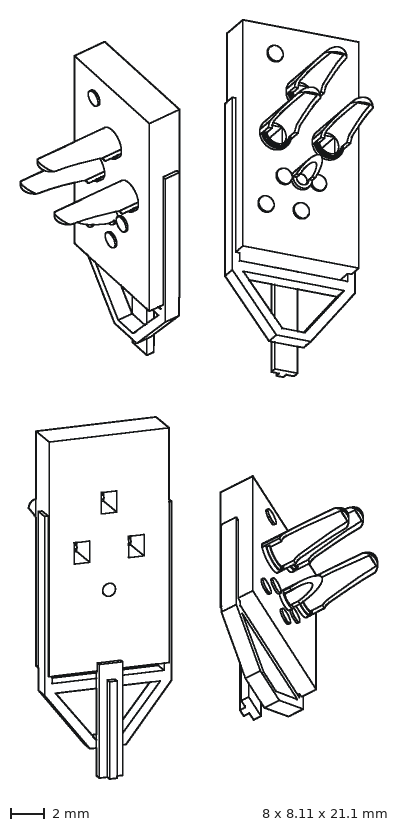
import cadquery as cq

SCREEN_WIDTH = 7.55
SCREEN_THICKNESS = 2.2
SCREEN_BOTTOM = 6.55
TOTAL_HEIGHT = 21.1

FRAME_WIDTH = 8.0
FRAME_TOP = 16.45
FRAME_FRONT = 1.0
FRAME_BACK = 2.0
FRAME_OPENING_WIDTH = 7.05
CROSSBAR_TOP = 6.03
CROSSBAR_BOTTOM = 5.4
FRAME_TAPER_TOP = 5.35
FRAME_BOTTOM = 1.7
FRAME_BOTTOM_WIDTH = 2.25
CUTOUT_TOP_WIDTH = 6.58
CUTOUT_BOTTOM = 2.22

MAST_WIDTH = 1.48
MAST_TOP = 7.05
MAST_BACK = 2.51
RIB_WIDTH = 0.46
RIB_BACK = 2.9

LAMP_SPACING = 1.7
UPPER_LAMP_Z = 17.0
LOWER_LAMP_Z = 14.1
LAMP_CENTERS = [(0, UPPER_LAMP_Z), (-LAMP_SPACING, LOWER_LAMP_Z), (LAMP_SPACING, LOWER_LAMP_Z)]
WINDOW_WIDTH = 0.97
WINDOW_TOP = 0.57
HOOD_DIAMETER = 1.95
HOOD_BORE = 1.5
HOOD_LENGTH = 5.21
HOOD_TIP_WALL = 0.21
HOOD_TIP_RADIUS = 0.82
COLLAR_LENGTH = 0.25
SLEEVE_DIAMETER = 1.73
SLEEVE_LENGTH = 0.45
HOOD_EDGE_START = (1.18, -0.2)
HOOD_BEND_MIDDLE = (1.29, 0.02)
HOOD_BEND_END = (1.52, 0.2)
HOOD_EDGE_MIDDLE = (2.87, 0.45)
HOOD_EDGE_END = (HOOD_LENGTH, 0.63)
HOOD_FLAT_TOP = 0.15

SMALL_LAMP_Z = 11.5
SMALL_HOOD_DIAMETER = 1.25
SMALL_HOOD_BORE = 0.8
SMALL_HOOD_LENGTH = 2.53
SMALL_HOOD_SLOPE_START = 0.7

DISC_DIAMETER = 1.0
DISC_THICKNESS = 0.13
LOW_DISC_Z = 9.5
SIDE_DISC_X = (DISC_DIAMETER + SMALL_HOOD_DIAMETER) / 2
DISC_CENTERS = [
    (-LAMP_SPACING, 19.29),
    (-SIDE_DISC_X, SMALL_LAMP_Z),
    (SIDE_DISC_X, SMALL_LAMP_Z),
    (-2.3, LOW_DISC_Z),
    (0, LOW_DISC_Z),
]


def block(width, front, back, bottom, top):
    """Box centred on X = 0."""
    return cq.Workplane("XY").box(width, back - front, top - bottom, centered=False).translate(
        (-width / 2, front, bottom)
    )


def rod(diameter, length):
    """Cylinder from the origin toward -Y."""
    return cq.Workplane("XZ").circle(diameter / 2).extrude(length)


def side_profile(half_width):
    """Workplane whose local X is the distance forward of the screen, for a full-width extrusion."""
    return cq.Workplane(cq.Plane((half_width, 0, 0), xDir=(0, -1, 0), normal=(-1, 0, 0)))


def make_frame():
    outline = [
        (-FRAME_WIDTH / 2, FRAME_TOP),
        (-FRAME_WIDTH / 2, FRAME_TAPER_TOP),
        (-FRAME_BOTTOM_WIDTH / 2, FRAME_BOTTOM),
        (FRAME_BOTTOM_WIDTH / 2, FRAME_BOTTOM),
        (FRAME_WIDTH / 2, FRAME_TAPER_TOP),
        (FRAME_WIDTH / 2, FRAME_TOP),
    ]
    cutout = [
        (-CUTOUT_TOP_WIDTH / 2, CROSSBAR_BOTTOM),
        (-MAST_WIDTH / 2, CUTOUT_BOTTOM),
        (MAST_WIDTH / 2, CUTOUT_BOTTOM),
        (CUTOUT_TOP_WIDTH / 2, CROSSBAR_BOTTOM),
    ]
    depth = FRAME_BACK - FRAME_FRONT
    base = cq.Workplane("XZ", origin=(0, FRAME_BACK, 0))
    frame = base.polyline(outline).close().extrude(depth)
    frame = frame.cut(base.polyline(cutout).close().extrude(depth))
    return frame.cut(block(FRAME_OPENING_WIDTH, FRAME_FRONT, FRAME_BACK, CROSSBAR_TOP, FRAME_TOP))


def make_screen():
    screen = block(SCREEN_WIDTH, 0, SCREEN_THICKNESS, SCREEN_BOTTOM, TOTAL_HEIGHT)
    mast = block(MAST_WIDTH, FRAME_BACK, MAST_BACK, 0, MAST_TOP)
    rib = block(RIB_WIDTH, MAST_BACK, RIB_BACK, 0, CROSSBAR_TOP)
    screen = screen.union(make_frame()).union(mast).union(rib)
    for x, z in LAMP_CENTERS:
        window = block(WINDOW_WIDTH, 0, SCREEN_THICKNESS, -HOOD_BORE / 2, WINDOW_TOP)
        screen = screen.cut(window.translate((x, 0, z)))
    small_hole = rod(SMALL_HOOD_BORE, SCREEN_THICKNESS).translate((0, SCREEN_THICKNESS, SMALL_LAMP_Z))
    return screen.cut(small_hole)


def make_hood():
    radius = HOOD_DIAMETER / 2
    profile = (
        side_profile(radius)
        .moveTo(0, radius)
        .lineTo(0, HOOD_EDGE_START[1])
        .lineTo(*HOOD_EDGE_START)
        .threePointArc(HOOD_BEND_MIDDLE, HOOD_BEND_END)
        .threePointArc(HOOD_EDGE_MIDDLE, HOOD_EDGE_END)
        .lineTo(HOOD_LENGTH, radius)
        .close()
        .extrude(HOOD_DIAMETER)
    )
    tip_start = HOOD_LENGTH - HOOD_TIP_RADIUS
    plan = block(HOOD_DIAMETER, -tip_start, 0, -radius, radius).union(
        cq.Workplane("XY", origin=(0, -tip_start, -radius)).circle(HOOD_TIP_RADIUS).extrude(HOOD_DIAMETER)
    )
    flat_sides = block(HOOD_DIAMETER, -HOOD_LENGTH, 0, HOOD_EDGE_START[1], HOOD_FLAT_TOP)
    scoop = rod(HOOD_DIAMETER, HOOD_LENGTH).union(flat_sides).intersect(profile).intersect(plan)
    collar = rod(HOOD_DIAMETER, COLLAR_LENGTH)
    sleeve = rod(SLEEVE_DIAMETER, SLEEVE_LENGTH)
    bore = rod(HOOD_BORE, HOOD_LENGTH - HOOD_TIP_WALL)
    return scoop.union(collar).union(sleeve).cut(bore)


def make_small_hood():
    radius = SMALL_HOOD_DIAMETER / 2
    profile = (
        side_profile(radius)
        .polyline([(0, radius), (0, 0), (SMALL_HOOD_SLOPE_START, 0), (SMALL_HOOD_LENGTH, radius)])
        .close()
        .extrude(SMALL_HOOD_DIAMETER)
    )
    scoop = rod(SMALL_HOOD_DIAMETER, SMALL_HOOD_LENGTH).intersect(profile)
    hood = scoop.union(rod(SMALL_HOOD_DIAMETER, COLLAR_LENGTH))
    return hood.cut(rod(SMALL_HOOD_BORE, SMALL_HOOD_LENGTH))


def make_disc():
    return rod(DISC_DIAMETER, DISC_THICKNESS)


screen = make_screen()
hoods = [make_hood().translate((x, 0, z)) for x, z in LAMP_CENTERS]
small_hood = make_small_hood().translate((0, 0, SMALL_LAMP_Z))
discs = [make_disc().translate((x, 0, z)) for x, z in DISC_CENTERS]

result = cq.Compound.makeCompound(
    [
        screen.val(),
        *[hood.val() for hood in hoods],
        small_hood.val(),
        *[disc.val() for disc in discs],
    ]
)